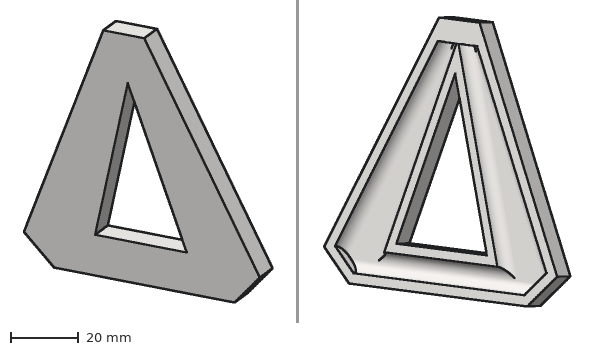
import cadquery as cq
import math

tilt = 8.0
thickness = 7.15
plate_height = 81.4
shoulder_height = 9.9
half_width = 41.1
base_half_width = 31.4
top_half_width = 7.15

window_half_width = 15.95
window_base = 13.5
window_apex = 65.5

rim = 3.2
top_rim = 7.0
window_rim = 3.0
recess_depth = (window_base - window_rim - rim) / 2


def plate_outline():
    return cq.Workplane("XY").polyline([
        (-base_half_width, 0),
        (base_half_width, 0),
        (half_width, shoulder_height),
        (top_half_width, plate_height),
        (-top_half_width, plate_height),
        (-half_width, shoulder_height),
    ]).close()


def window_triangle(margin):
    """Window corners (left, right, apex) with every side moved outward by margin."""
    half_apex = math.atan(window_half_width / (window_apex - window_base))
    base_angle = math.pi / 2 - half_apex
    half = window_half_width + margin / math.tan(base_angle / 2)
    base = window_base - margin
    apex = window_apex + margin / math.sin(half_apex)
    return [(-half, base), (half, base), (0, apex)]


def rounded_side(start, end, inset=0):
    """Block left of the line start-end, inset from it, with its floor rounded up along the line."""
    along = cq.Vector(end[0] - start[0], end[1] - start[1], 0).normalized()
    inward = cq.Vector(-along.y, along.x, 0)
    reach = 2 * plate_height
    origin = cq.Vector(start[0], start[1], thickness) + inward * inset - along * reach
    section = cq.Workplane(cq.Plane(origin=origin, xDir=inward, normal=along))
    corner = recess_depth * (1 - math.sqrt(0.5))
    floor_drop = recess_depth * math.sqrt(0.5)
    return (
        section.threePointArc((corner, -floor_drop), (recess_depth, -recess_depth))
        .lineTo(reach, -recess_depth)
        .lineTo(reach, 0)
        .close()
        .extrude(2 * reach)
    )


def back_recess():
    """Round-bottomed recess around the window; its corner and top walls are straight."""
    recess = plate_outline().offset2D(-rim).extrude(thickness)
    top_limit = plate_height - top_rim
    recess = recess.intersect(
        cq.Workplane("XY").rect(2 * half_width, 2 * top_limit).extrude(thickness)
    )
    outer_sides = [
        ((-base_half_width, 0), (base_half_width, 0)),
        ((half_width, shoulder_height), (top_half_width, plate_height)),
        ((-top_half_width, plate_height), (-half_width, shoulder_height)),
    ]
    for start, end in outer_sides:
        recess = recess.intersect(rounded_side(start, end, rim))
    left, right, apex = window_triangle(window_rim)
    around_window = rounded_side(right, left)
    for start, end in [(apex, right), (left, apex)]:
        around_window = around_window.union(rounded_side(start, end))
    return recess.intersect(around_window)


plate = plate_outline().extrude(thickness)
window = cq.Workplane("XY").polyline(window_triangle(0)).close().extrude(thickness)
plate = plate.cut(window).cut(back_recess())

result = plate.rotate((0, 0, 0), (1, 0, 0), 90).mirror("XZ")
result = result.rotate((0, 0, 0), (1, 0, 0), tilt)